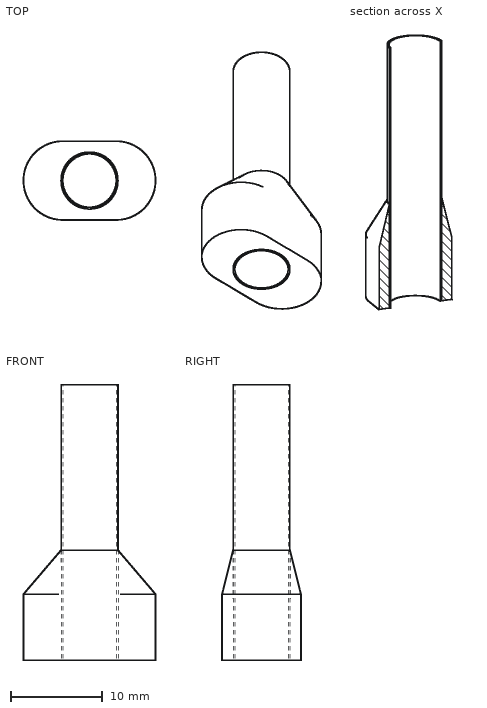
import cadquery as cq


total_length = 30.0
tube_outer_diameter = 6.2
tube_wall = 0.2
tube_inner_diameter = tube_outer_diameter - 2 * tube_wall

collar_width = 14.4
collar_depth = 8.6
sleeve_height = 7.2
collar_height = 12.0

end_radius = collar_depth / 2
end_offset = (collar_width - collar_depth) / 2
neck_radius = tube_outer_diameter / 2


def make_tube():
    """Straight round tube running the full length of the ferrule."""
    return (
        cq.Workplane("XY")
        .circle(tube_outer_diameter / 2)
        .circle(tube_inner_diameter / 2)
        .extrude(total_length)
    )


def make_sleeve():
    """Straight lower part of the collar with an obround outline."""
    return cq.Workplane("XY").slot2D(collar_width, collar_depth).extrude(sleeve_height)


def funnel_half_end(side):
    """Half-round end of the funnel (side = +1 or -1 along X), leaning in to the tube."""
    x_base = side * end_offset
    return (
        cq.Workplane("XY", origin=(0, 0, sleeve_height))
        .moveTo(x_base, -end_radius)
        .threePointArc((x_base + side * end_radius, 0), (x_base, end_radius))
        .close()
        .workplane(offset=collar_height - sleeve_height)
        .moveTo(0, -neck_radius)
        .threePointArc((side * neck_radius, 0), (0, neck_radius))
        .close()
        .loft(ruled=True, combine=True)
    )


def funnel_wedge():
    """Middle of the funnel: a flat-sided wedge that narrows to the line between the two ends."""
    base = [
        cq.Vector(x * end_offset, y * end_radius, sleeve_height)
        for x, y in ((-1, -1), (1, -1), (1, 1), (-1, 1))
    ]
    front_apex = cq.Vector(0, -neck_radius, collar_height)
    back_apex = cq.Vector(0, neck_radius, collar_height)
    outlines = [
        base,
        [base[0], base[1], front_apex],
        [base[1], base[2], back_apex, front_apex],
        [base[2], base[3], back_apex],
        [base[3], base[0], front_apex, back_apex],
    ]
    faces = [cq.Face.makeFromWires(cq.Wire.makePolygon(points, close=True)) for points in outlines]
    return cq.Workplane(cq.Solid.makeSolid(cq.Shell.makeShell(faces)))


def make_collar(tube_hole_diameter):
    """Obround sleeve with a funnel on top, bored to fit the tube."""
    body = make_sleeve().union(funnel_wedge())
    for side in (-1, 1):
        body = body.union(funnel_half_end(side))
    bore = cq.Workplane("XY").circle(tube_hole_diameter / 2).extrude(collar_height)
    return body.cut(bore)


tube = make_tube()
collar = make_collar(tube_outer_diameter)

result = cq.Compound.makeCompound([tube.val(), collar.val()])